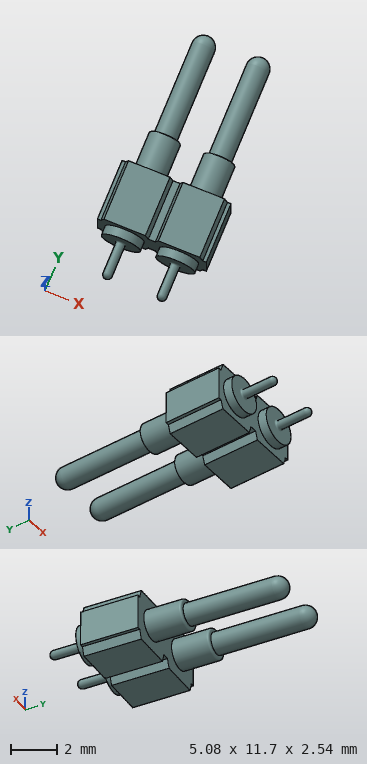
import cadquery as cq
import math

CONTACT_COUNT = 2
PITCH = 2.54
HOUSING_DEPTH = 2.81
HALF_HEIGHT = PITCH / 2

NOTCH_DEPTH = 0.42
NOTCH_FLOOR_HALF_WIDTH = 0.16
NOTCH_MOUTH_HALF_WIDTH = 0.3

TOTAL_LENGTH = 11.66
FLANGE_DIAMETER = 1.83
FLANGE_RADIUS = FLANGE_DIAMETER / 2
FLANGE_THICKNESS = 0.43
TAIL_DIAMETER = 0.43
TAIL_RADIUS = TAIL_DIAMETER / 2
TAIL_LENGTH = 1.73
TAIL_FILLET = 0.07
SLEEVE_RADIUS = 0.73
SLEEVE_LENGTH = 1.82
SLEEVE_FILLET = 0.09
PIN_DIAMETER = 1.06
PIN_RADIUS = PIN_DIAMETER / 2

FLANGE_FACE_Y = -FLANGE_THICKNESS
TAIL_TIP_Y = FLANGE_FACE_Y - TAIL_LENGTH
SLEEVE_END_Y = HOUSING_DEPTH + SLEEVE_LENGTH
PIN_TIP_Y = TAIL_TIP_Y + TOTAL_LENGTH

ARC_MIDDLE = math.sqrt(0.5)
HOUSING_WIDTH = CONTACT_COUNT * PITCH
CONTACT_XS = [(i - (CONTACT_COUNT - 1) / 2) * PITCH for i in range(CONTACT_COUNT)]


def make_notch(x, side):
    """Trapezoidal groove along Y, in the top (side = 1) or bottom (side = -1) face."""
    mouth_z = side * HALF_HEIGHT
    floor_z = side * (HALF_HEIGHT - NOTCH_DEPTH)
    return (
        cq.Workplane("XZ")
        .polyline([
            (x - NOTCH_MOUTH_HALF_WIDTH, mouth_z),
            (x - NOTCH_FLOOR_HALF_WIDTH, floor_z),
            (x + NOTCH_FLOOR_HALF_WIDTH, floor_z),
            (x + NOTCH_MOUTH_HALF_WIDTH, mouth_z),
        ])
        .close()
        .extrude(-HOUSING_DEPTH)
    )


def make_housing():
    """Block with grooves at every cell boundary and a through hole per contact."""
    body = cq.Workplane("XZ").rect(HOUSING_WIDTH, 2 * HALF_HEIGHT).extrude(-HOUSING_DEPTH)
    for boundary in range(CONTACT_COUNT + 1):
        x = boundary * PITCH - HOUSING_WIDTH / 2
        for side in (1, -1):
            body = body.cut(make_notch(x, side))
    holes = (
        cq.Workplane("XZ")
        .pushPoints([(x, 0) for x in CONTACT_XS])
        .circle(SLEEVE_RADIUS)
        .extrude(-HOUSING_DEPTH)
    )
    return body.cut(holes)


def make_contact(x):
    """Turned contact, revolved about the Y direction through the given X."""
    tail_dome_y = TAIL_TIP_Y + TAIL_RADIUS
    pin_dome_y = PIN_TIP_Y - PIN_RADIUS
    fillet_bulge = 1 - ARC_MIDDLE
    profile = (
        cq.Workplane("XY")
        .moveTo(0, TAIL_TIP_Y)
        .threePointArc(
            (TAIL_RADIUS * ARC_MIDDLE, tail_dome_y - TAIL_RADIUS * ARC_MIDDLE),
            (TAIL_RADIUS, tail_dome_y),
        )
        .lineTo(TAIL_RADIUS, FLANGE_FACE_Y - TAIL_FILLET)
        .threePointArc(
            (TAIL_RADIUS + TAIL_FILLET * fillet_bulge, FLANGE_FACE_Y - TAIL_FILLET * fillet_bulge),
            (TAIL_RADIUS + TAIL_FILLET, FLANGE_FACE_Y),
        )
        .lineTo(FLANGE_RADIUS, FLANGE_FACE_Y)
        .lineTo(FLANGE_RADIUS, 0)
        .lineTo(SLEEVE_RADIUS, 0)
        .lineTo(SLEEVE_RADIUS, SLEEVE_END_Y - SLEEVE_FILLET)
        .threePointArc(
            (SLEEVE_RADIUS - SLEEVE_FILLET * fillet_bulge, SLEEVE_END_Y - SLEEVE_FILLET * fillet_bulge),
            (SLEEVE_RADIUS - SLEEVE_FILLET, SLEEVE_END_Y),
        )
        .lineTo(PIN_RADIUS, SLEEVE_END_Y)
        .lineTo(PIN_RADIUS, pin_dome_y)
        .threePointArc(
            (PIN_RADIUS * ARC_MIDDLE, pin_dome_y + PIN_RADIUS * ARC_MIDDLE),
            (0, PIN_TIP_Y),
        )
        .close()
    )
    return profile.revolve(360, (0, 0, 0), (0, 1, 0)).translate((x, 0, 0))


housing = make_housing()
contacts = [make_contact(x) for x in CONTACT_XS]

result = cq.Compound.makeCompound([housing.val(), *[contact.val() for contact in contacts]])